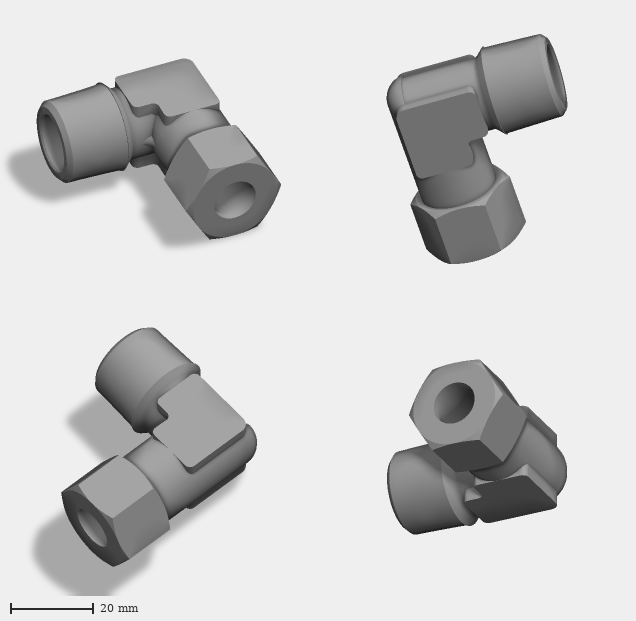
import cadquery as cq
import math


nut_tube_radius = 9.5
thread_tube_radius = 9.0

corner_radius = 5.0
corner_center = nut_tube_radius - corner_radius

web_radius = 1.5
web_fillet = 2.7

pad_half_thickness = 9.5
pad_left = 6.45
pad_top = 7.25
pad_leg_right = 6.5
pad_notch_inner = 7.05
pad_notch_outer = 7.2
pad_notch_bend = 10.5
pad_right = 13.0
pad_bottom = 13.0
pad_corner_radius = 1.5
pad_outer_corner_radius = 2.5

hex_sides = 6
hex_across_flats = 22.0
hex_across_corners = hex_across_flats / math.cos(math.pi / hex_sides)
nut_length = 15.0
nut_end = 37.9
nut_start = nut_end - nut_length
nut_chamfer_angle = math.radians(30)

thread_end = 32.0
gauge_length = 5.0
gauge_diameter = 20.955
gauge_radius = gauge_diameter / 2
diameter_taper = 1 / 16
taper_slope = diameter_taper / 2
end_chamfer = 1.2
collar_radius = 11.14
collar_position = 16.42
collar_fillet = 1.6
flare_angle = math.radians(45)

thread_bore_radius = 7.0
thread_bore_chamfer = 0.45
nut_bore_radius = 5.5
drill_half_angle = math.radians(59)


def x_cylinder(radius, start, end):
    return cq.Workplane("YZ").workplane(offset=start).circle(radius).extrude(end - start)


def make_nut():
    hexagon = (
        cq.Workplane("YZ")
        .workplane(offset=nut_start)
        .polygon(hex_sides, hex_across_corners)
        .extrude(nut_length)
    )
    face_radius = hex_across_flats / 2
    corner_reach = hex_across_corners / 2
    chamfer_length = (corner_reach - face_radius) * math.tan(nut_chamfer_angle)
    chamfer_envelope = (
        cq.Workplane("XY")
        .moveTo(nut_start, 0)
        .lineTo(nut_start, face_radius)
        .lineTo(nut_start + chamfer_length, corner_reach)
        .lineTo(nut_end - chamfer_length, corner_reach)
        .lineTo(nut_end, face_radius)
        .lineTo(nut_end, 0)
        .close()
        .revolve(360, (0, 0, 0), (1, 0, 0))
    )
    return hexagon.intersect(chamfer_envelope)


def make_thread_end():
    """Thread tube, flared collar and tapered thread, revolved about Y."""

    def taper_radius(depth):
        return gauge_radius + (thread_end - gauge_length - depth) * taper_slope

    chamfer_start = thread_end - end_chamfer
    fillet_rise = collar_fillet * (1 - math.cos(flare_angle))
    flare_start_radius = thread_tube_radius + fillet_rise
    flare_start = collar_position - (collar_radius - flare_start_radius) / math.tan(flare_angle)
    fillet_start = flare_start - collar_fillet * math.sin(flare_angle)
    half_angle = flare_angle / 2
    fillet_middle = (
        thread_tube_radius + collar_fillet * (1 - math.cos(half_angle)),
        -(fillet_start + collar_fillet * math.sin(half_angle)),
    )
    return (
        cq.Workplane("XY")
        .moveTo(0, corner_center)
        .lineTo(thread_tube_radius, corner_center)
        .lineTo(thread_tube_radius, -fillet_start)
        .threePointArc(fillet_middle, (flare_start_radius, -flare_start))
        .lineTo(collar_radius, -collar_position)
        .lineTo(taper_radius(collar_position), -collar_position)
        .lineTo(gauge_radius, -(thread_end - gauge_length))
        .lineTo(taper_radius(chamfer_start), -chamfer_start)
        .lineTo(taper_radius(chamfer_start) - end_chamfer, -thread_end)
        .lineTo(0, -thread_end)
        .close()
        .revolve(360, (0, 0, 0), (0, 1, 0))
    )


def make_outer_corner():
    """Part of the tube section beyond the corner axis, turned a quarter about that axis."""
    chord_half = math.sqrt(nut_tube_radius**2 - corner_center**2)
    section_plane = cq.Plane(origin=(-corner_center, corner_center, 0), xDir=(-1, 0, 0), normal=(0, 1, 0))
    return (
        cq.Workplane(section_plane)
        .moveTo(0, -chord_half)
        .threePointArc((corner_radius, 0), (0, chord_half))
        .close()
        .revolve(90, (0, 0, 0), (0, -1, 0))
    )


def make_inner_web():
    """Quarter ring of round section, concave towards the inner corner."""
    ring_center_x = thread_tube_radius + web_fillet
    ring_center_y = -(nut_tube_radius + web_fillet)
    ring_radius = web_fillet + web_radius
    section_plane = cq.Plane(origin=(ring_center_x, ring_center_y, 0), xDir=(-1, 0, 0), normal=(0, 1, 0))
    return (
        cq.Workplane(section_plane)
        .center(ring_radius, 0)
        .circle(web_radius)
        .revolve(90, (-ring_radius, 0, 0), (-ring_radius, -1, 0))
    )


def make_pad():
    pad = (
        cq.Workplane("XY")
        .workplane(offset=-pad_half_thickness)
        .moveTo(-pad_left, pad_top)
        .lineTo(pad_right, pad_top)
        .lineTo(pad_right, -pad_notch_outer)
        .lineTo(pad_notch_bend, -pad_notch_outer)
        .lineTo(pad_leg_right, -pad_notch_inner)
        .lineTo(pad_leg_right, -pad_bottom)
        .lineTo(-pad_left, -pad_bottom)
        .close()
        .extrude(2 * pad_half_thickness)
    )
    outer_corner = pad.edges(cq.selectors.NearestToPointSelector((-pad_left, pad_top, 0)))
    pad = outer_corner.fillet(pad_outer_corner_radius)
    other_corners = [
        (pad_right, pad_top),
        (pad_right, -pad_notch_outer),
        (pad_leg_right, -pad_notch_inner),
        (pad_leg_right, -pad_bottom),
        (-pad_left, -pad_bottom),
    ]
    for x, y in other_corners:
        corner = pad.edges(cq.selectors.NearestToPointSelector((x, y, 0)))
        pad = corner.fillet(pad_corner_radius)
    return pad


def make_thread_bore():
    """Drilled from the threaded end up to the nut axis, with a drill-point cone."""
    mouth_radius = thread_bore_radius + thread_bore_chamfer
    return (
        cq.Workplane("XY")
        .moveTo(0, thread_bore_radius / math.tan(drill_half_angle))
        .lineTo(thread_bore_radius, 0)
        .lineTo(thread_bore_radius, -(thread_end - thread_bore_chamfer))
        .lineTo(mouth_radius, -thread_end)
        .lineTo(0, -thread_end)
        .close()
        .revolve(360, (0, 0, 0), (0, 1, 0))
    )


def make_nut_bore():
    """Drilled from the nut end up to the thread axis, with a drill-point cone."""
    return (
        cq.Workplane("XY")
        .moveTo(-nut_bore_radius / math.tan(drill_half_angle), 0)
        .lineTo(0, nut_bore_radius)
        .lineTo(nut_end, nut_bore_radius)
        .lineTo(nut_end, 0)
        .close()
        .revolve(360, (0, 0, 0), (1, 0, 0))
    )


body = x_cylinder(nut_tube_radius, -corner_center, nut_start)
body = body.union(make_outer_corner())
body = body.union(make_thread_end())
body = body.union(make_inner_web())
body = body.union(make_pad())
body = body.union(make_nut())

result = body.cut(make_thread_bore()).cut(make_nut_bore())